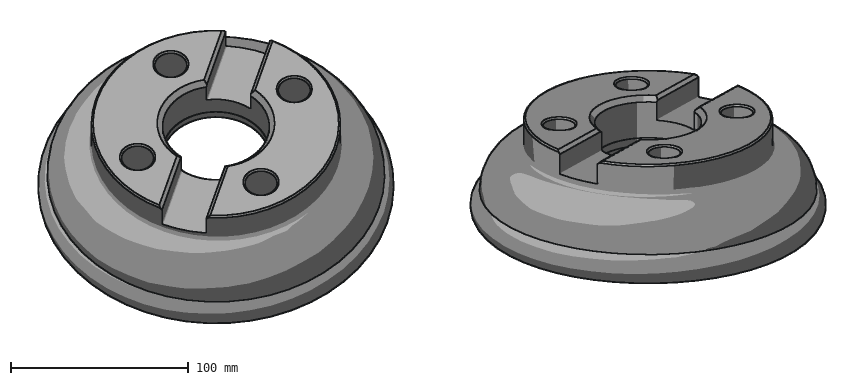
import cadquery as cq
import math

total_height = 63.0
outer_radius = 100.0

tube_radius = 10.0
ring_radius = outer_radius - tube_radius

neck_radius = 70.0
neck_chamfer = 1.0
skirt_radius = 189.65 / 2
dome_radius = 26.0
dome_center_height = tube_radius + math.sqrt(tube_radius**2 - (skirt_radius - ring_radius) ** 2)
neck_fillet = 3.0
hub_bottom = 6.5

cavity_radius = 128.5 / 2
cavity_ceiling = 33.5

bore_radius = 60.02 / 2
relief_radius = 60.3 / 2
relief_top = 38.2
bore_chamfer = 3.0

slot_width = 25.7
slot_depth = 14.0
slot_chamfer = 2.0
slot_corner_radius = 0.8

bolt_hole_radius = 18.0 / 2
bolt_circle_diameter = 101.6
bolt_hole_chamfer = 1.0
bolt_count = 4


def make_ring():
    """Rim ring: a solid tube running round the Z axis, resting on Z = 0."""
    return cq.Workplane("XZ").center(ring_radius, tube_radius).circle(tube_radius).revolve(
        360, (-ring_radius, 0), (-ring_radius, 1)
    )


def on_arc(center_radius, center_height, arc_radius, angle):
    """Point on an arc of the profile, as radius and height."""
    return (
        center_radius + arc_radius * math.cos(angle),
        center_height + arc_radius * math.sin(angle),
    )


def make_hub_blank():
    """Turned hub: skirt, dome, fillet into the neck, bore and underside cavity."""
    dome_center_radius = skirt_radius - dome_radius

    fillet_center_radius = neck_radius + neck_fillet
    centers_across = fillet_center_radius - dome_center_radius
    centers_apart = dome_radius + neck_fillet
    centers_rise = math.sqrt(centers_apart**2 - centers_across**2)
    fillet_top = dome_center_height + centers_rise
    dome_share = dome_radius / centers_apart
    tangent_radius = dome_center_radius + centers_across * dome_share
    tangent_height = dome_center_height + centers_rise * dome_share

    tangent_angle = math.atan2(centers_rise, centers_across)
    dome_mid_angle = tangent_angle / 2
    fillet_mid_angle = math.pi + tangent_angle / 2

    dome_mid = on_arc(dome_center_radius, dome_center_height, dome_radius, dome_mid_angle)
    fillet_mid = on_arc(fillet_center_radius, fillet_top, neck_fillet, fillet_mid_angle)

    return (
        cq.Workplane("XZ")
        .moveTo(cavity_radius, hub_bottom)
        .lineTo(skirt_radius, hub_bottom)
        .lineTo(skirt_radius, dome_center_height)
        .threePointArc(dome_mid, (tangent_radius, tangent_height))
        .threePointArc(fillet_mid, (neck_radius, fillet_top))
        .lineTo(neck_radius, total_height - neck_chamfer)
        .lineTo(neck_radius - neck_chamfer, total_height)
        .lineTo(bore_radius + bore_chamfer, total_height)
        .lineTo(bore_radius, total_height - bore_chamfer)
        .lineTo(bore_radius, relief_top)
        .lineTo(relief_radius, relief_top)
        .lineTo(relief_radius, cavity_ceiling)
        .lineTo(cavity_radius, cavity_ceiling)
        .close()
        .revolve(360, (0, 0), (0, 1))
    )


def make_slot_cutter():
    """Slot with rounded floor corners and chamfered top edges."""
    half_width = slot_width / 2
    floor = total_height - slot_depth
    channel = (
        cq.Workplane("XY")
        .box(slot_width, 2 * outer_radius, slot_depth, centered=(True, True, False))
        .translate((0, 0, floor))
        .edges("|Y and <Z")
        .fillet(slot_corner_radius)
    )
    flare = (
        cq.Workplane("XZ")
        .moveTo(-half_width, total_height - slot_chamfer)
        .lineTo(half_width, total_height - slot_chamfer)
        .lineTo(half_width + slot_chamfer, total_height)
        .lineTo(-half_width - slot_chamfer, total_height)
        .close()
        .extrude(outer_radius, both=True)
    )
    return channel.union(flare)


def make_bolt_hole_cutter():
    """One through hole with a chamfered mouth, on the Z axis."""
    mouth_radius = bolt_hole_radius + bolt_hole_chamfer
    return (
        cq.Workplane("XZ")
        .lineTo(bolt_hole_radius, 0)
        .lineTo(bolt_hole_radius, total_height - bolt_hole_chamfer)
        .lineTo(mouth_radius, total_height)
        .lineTo(0, total_height)
        .close()
        .revolve(360, (0, 0), (0, 1))
    )


def make_hub():
    """Finished hub; the bolt holes lie midway between the X and Y axes."""
    hub = make_hub_blank().cut(make_slot_cutter())
    bolt_hole = make_bolt_hole_cutter().translate((bolt_circle_diameter / 2, 0, 0))
    spacing = 360 / bolt_count
    for index in range(bolt_count):
        angle = spacing * (index + 0.5)
        hub = hub.cut(bolt_hole.rotate((0, 0, 0), (0, 0, 1), angle))
    return hub.cut(make_ring()).solids()


rim_ring = make_ring()
hub = make_hub()

result = cq.Compound.makeCompound([hub.val(), rim_ring.val()])